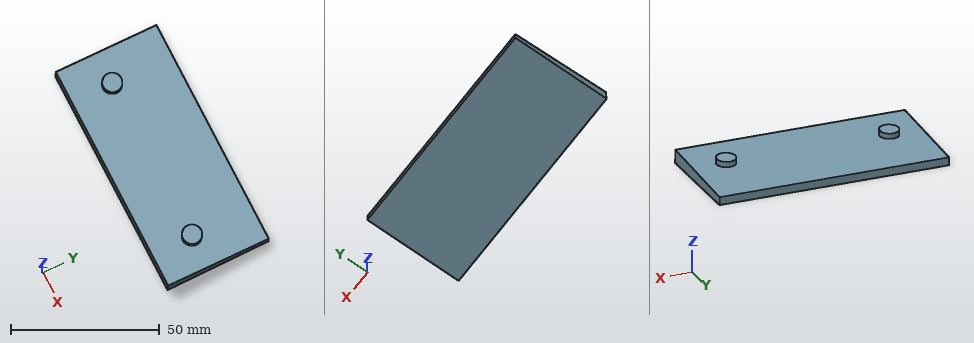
import cadquery as cq
import math

length = 84.0
sloped_width = 38.0
front_height = 4.95
slope_angle = 3.0
boss_diameter = 6.9
boss_height = 2.0
boss_spacing = 59.6
boss_setback = 15.0

sine = math.sin(math.radians(slope_angle))
cosine = math.cos(math.radians(slope_angle))

front_top = (front_height * sine, front_height * cosine)
back_top = (
    front_top[0] + sloped_width * cosine,
    front_top[1] - sloped_width * sine,
)
back_bottom = (back_top[0], 0)


def make_plate():
    """Wedge plate with a flat bottom, centred on X = 0."""
    return (
        cq.Workplane("YZ")
        .polyline([(0, 0), back_bottom, back_top, front_top])
        .close()
        .extrude(length / 2, both=True)
    )


def make_bosses():
    """Two round bosses standing square to the inclined top face."""
    root_depth = front_height / 4
    top_plane = cq.Plane(
        origin=(0, *front_top), xDir=(1, 0, 0), normal=(0, sine, cosine)
    )
    return (
        cq.Workplane(top_plane)
        .workplane(offset=-root_depth)
        .pushPoints([(side * boss_spacing / 2, boss_setback) for side in (-1, 1)])
        .circle(boss_diameter / 2)
        .extrude(root_depth + boss_height)
    )


result = make_plate().union(make_bosses())